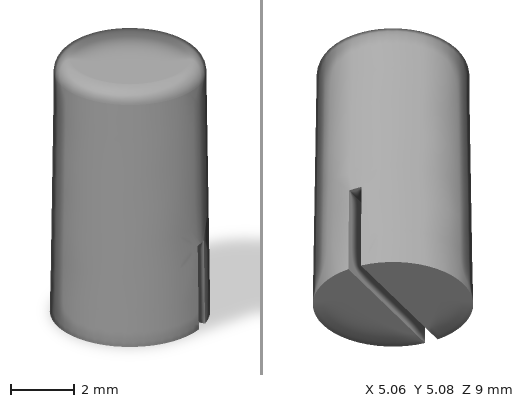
import cadquery as cq

height = 9.0
base_diameter = 5.08
top_diameter = 4.82
top_edge_radius = 0.5
slot_width = 0.45
slot_height = 2.95


def tapered_body():
    """Round body narrowing towards the top, standing on Z = 0."""
    base_radius = base_diameter / 2
    top_radius = top_diameter / 2
    half_section = (
        cq.Workplane("XZ")
        .lineTo(base_radius, 0)
        .lineTo(top_radius, height)
        .lineTo(0, height)
        .close()
    )
    return half_section.revolve(360, (0, 0, 0), (0, 1, 0))


def slot_cutter():
    """Narrow slot open at the base and running right through along X."""
    return cq.Workplane("XY").box(base_diameter, slot_width, slot_height, centered=(True, True, False))


body = tapered_body().faces(">Z").edges().fillet(top_edge_radius)
result = body.cut(slot_cutter())